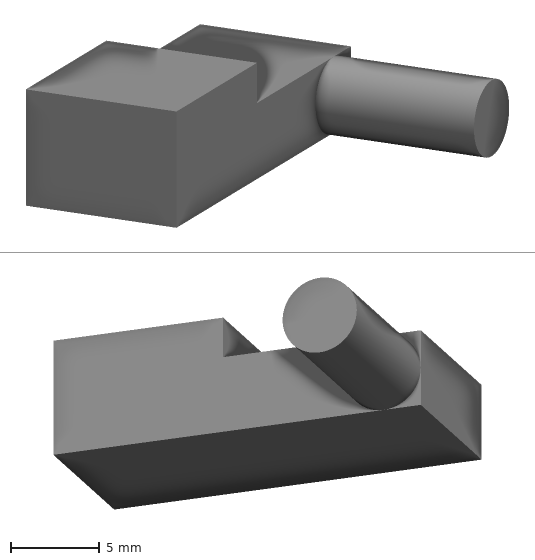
import cadquery as cq

total_width = 19.5
body_length = 22.3
tall_height = 6.9

body_width = 9.5
low_length = 12.0
tall_length = body_length - low_length

pin_diameter = 4.5
pin_radius = pin_diameter / 2
pin_length = total_width - body_width
low_height = pin_diameter


def make_body():
    """Block with a tall front end and a low rear step."""
    low_block = cq.Workplane("XY").box(body_width, body_length, low_height, centered=False)
    tall_block = cq.Workplane("XY").box(body_width, tall_length, tall_height, centered=False)
    return low_block.union(tall_block)


def make_pin():
    """Round pin on the +X side, flush with the rear, top and bottom of the low step."""
    return (
        cq.Workplane("YZ", origin=(body_width, body_length - pin_radius, pin_radius))
        .circle(pin_radius)
        .extrude(pin_length)
    )


result = make_body().union(make_pin())